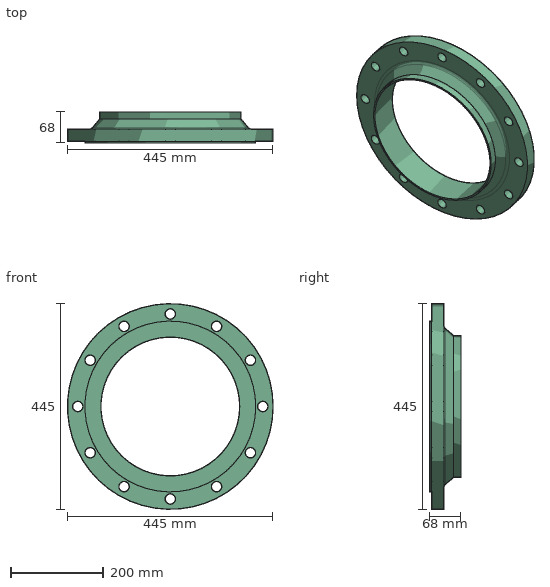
import cadquery as cq

flange_diameter = 445.0
flange_thickness = 26.5
face_diameter = 369.5
face_height = 4.0
bore_diameter = 299.5
neck_diameter = 306.5
neck_length = 16.0
hub_diameter = 342.5
hub_fillet_radius = 10.0
overall_length = 68.0
bolt_circle_diameter = 400.0
bolt_hole_diameter = 22.0
bolt_count = 12

face_y = -overall_length / 2
flange_front_y = face_y + face_height
flange_back_y = flange_front_y + flange_thickness
neck_end_y = overall_length / 2
taper_end_y = neck_end_y - neck_length

section = [
    (bore_diameter / 2, face_y),
    (face_diameter / 2, face_y),
    (face_diameter / 2, flange_front_y),
    (flange_diameter / 2, flange_front_y),
    (flange_diameter / 2, flange_back_y),
    (hub_diameter / 2, flange_back_y),
    (neck_diameter / 2, taper_end_y),
    (neck_diameter / 2, neck_end_y),
    (bore_diameter / 2, neck_end_y),
]
body = cq.Workplane("XY").polyline(section).close().revolve(360, (0, 0, 0), (0, 1, 0))

search_reach = (hub_diameter + flange_diameter) / 4
search_depth = hub_fillet_radius / 2
hub_root = cq.selectors.BoxSelector(
    (-search_reach, flange_back_y - search_depth, -search_reach),
    (search_reach, flange_back_y + search_depth, search_reach),
    boundingbox=True,
)
body = body.edges(hub_root).fillet(hub_fillet_radius)

bolt_holes = (
    cq.Workplane("XZ", origin=(0, flange_back_y, 0))
    .polarArray(bolt_circle_diameter / 2, 90, 360, bolt_count)
    .circle(bolt_hole_diameter / 2)
    .extrude(flange_thickness)
)
result = body.cut(bolt_holes)